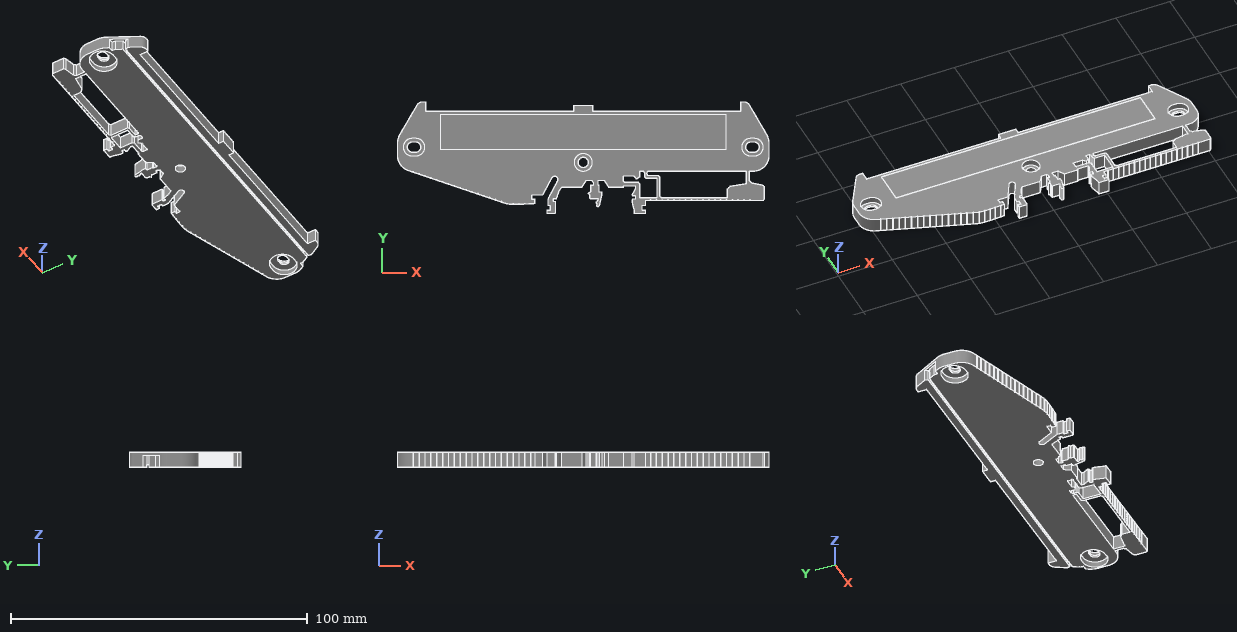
import cadquery as cq
import math

thickness = 5.1
half_length = 62.7
horn_top = 37.7
plate_top = 34.6
plate_bottom = 14.3
rail_seat = 8.9
relief_top = 11.2
tail_bottom = 3.1
foot_bottom = 0.0

horn_inner_x = 53.0
horn_tip_x = 54.4
horn_round_mid = (55.5, 37.2)
horn_round_end = (56.3, 36.2)
slant_end = (62.0, 26.6)
slant_round_mid = (62.5, 25.3)
side_top = 24.0
corner_radius = 5.4
side_bottom = plate_bottom + corner_radius

slope_start = (-59.1, 14.5)
slope_end = (-27.6, 3.9)
tail_end_x = -16.3
tail_end_y = 3.4

tab_width = 6.5
tab_height = 1.9

label_width = 96.2
label_bottom = 21.7
label_height = 11.8
label_depth = 0.1

hole_diameter = 3.4
counterbore_diameter = 6.0
counterbore_depth = 2.3
underside_recess_diameter = 8.8
underside_recess_depth = 2.1
slot_stretch = 1.1
end_hole_x = 57.0
end_hole_y = 22.5
middle_hole_y = 17.3

spring_slot_top = (-9.7, 11.5)
spring_slot_width = 2.1
spring_slot_length = 10.0
spring_slot_angle = 62.0

lip_height = 1.3
lip_notch_top = 2.8
arm_bottom = 4.4
arm_top = 5.4
foot_wall_x = 19.0
latch_top = 12.9
latch_thickness = 1.0
latch_wall_x = 25.8
handle_start_x = 48.5
handle_end_x = 61.1
hanger_x = 54.9
hanger_thickness = 1.1
hanger_bottom = 10.0

notch_height = 4.0
notch_top = 33.1
notch_bottom = 27.6
notch_slit_end = 56.4
groove_y = 31.5
groove_width = 0.8
groove_height = 0.9

grip_width = 0.1
grip_depth = 0.3
tail_grip_first_x = -57.3
tail_grip_last_x = -17.7
tail_grip_count = 21
arm_grip_first_x = 22.7
arm_grip_last_x = 56.2
arm_grip_count = 18

overlap = 0.6


def prism(points, height=thickness):
    """Extrude a closed straight-sided outline up from the underside."""
    return cq.Workplane("XY").polyline(points).close().extrude(height)


def box(x_min, x_max, y_min, y_max, height=thickness):
    return prism([(x_min, y_min), (x_max, y_min), (x_max, y_max), (x_min, y_max)], height)


def plate():
    corner_bulge = corner_radius * math.sqrt(0.5)
    corner_mid_x = half_length - corner_radius + corner_bulge
    corner_mid_y = side_bottom - corner_bulge
    outline = (
        cq.Workplane("XY")
        .moveTo(-horn_inner_x, plate_top)
        .lineTo(-horn_inner_x, horn_top)
        .lineTo(-horn_tip_x, horn_top)
        .threePointArc((-horn_round_mid[0], horn_round_mid[1]), (-horn_round_end[0], horn_round_end[1]))
        .lineTo(-slant_end[0], slant_end[1])
        .threePointArc((-slant_round_mid[0], slant_round_mid[1]), (-half_length, side_top))
        .lineTo(-half_length, side_bottom)
        .threePointArc((-corner_mid_x, corner_mid_y), slope_start)
        .lineTo(*slope_end)
        .threePointArc((-26.0, 3.4), (-24.3, tail_bottom))
        .lineTo(-21.2, tail_bottom)
        .lineTo(tail_end_x, tail_end_y)
        .lineTo(tail_end_x, 4.9)
        .lineTo(-17.3, 4.9)
        .lineTo(-17.3, 6.3)
        .lineTo(-13.3, 6.3)
        .lineTo(-10.7, rail_seat)
        .lineTo(13.5, rail_seat)
        .lineTo(13.5, 12.7)
        .lineTo(17.0, 12.7)
        .lineTo(17.9, 11.7)
        .lineTo(foot_wall_x, 12.4)
        .lineTo(foot_wall_x, plate_bottom)
        .lineTo(half_length - corner_radius, plate_bottom)
        .threePointArc((corner_mid_x, corner_mid_y), (half_length, side_bottom))
        .lineTo(half_length, side_top)
        .threePointArc(slant_round_mid, slant_end)
        .lineTo(*horn_round_end)
        .threePointArc(horn_round_mid, (horn_tip_x, horn_top))
        .lineTo(horn_inner_x, horn_top)
        .lineTo(horn_inner_x, plate_top)
        .close()
    )
    return outline.extrude(thickness)


def tab():
    return box(-tab_width / 2, tab_width / 2, plate_top - overlap, plate_top + tab_height)


def spring_leg():
    """Slanted leg left of the rail seat, ending in a hooked foot."""
    return prism([
        (-7.3, rail_seat), (-8.2, 7.6), (-9.0, 5.0), (-10.0, 5.0), (-10.0, 4.1), (-9.3, 4.1),
        (-9.3, 0.4), (-9.5, foot_bottom), (-12.3, foot_bottom), (-12.3, lip_height), (-11.2, lip_height),
        (-11.2, lip_notch_top), (-11.9, lip_notch_top), (-11.9, 4.9), (-10.0, rail_seat),
    ])


def spring_slot():
    slope = math.radians(spring_slot_angle)
    reach = (spring_slot_length - spring_slot_width) / 2
    center = (spring_slot_top[0] - reach * math.cos(slope), spring_slot_top[1] - reach * math.sin(slope))
    return (
        cq.Workplane("XY").center(*center)
        .slot2D(spring_slot_length, spring_slot_width, spring_slot_angle).extrude(thickness)
    )


def clip_relief():
    """Recess in the rail seat around the neck of the middle clip."""
    return prism([(-0.5, rail_seat), (1.0, relief_top), (7.1, relief_top), (8.5, rail_seat)])


def middle_clip():
    """Barbed block on a narrow neck, with a thin hooked finger below it."""
    return prism([
        (2.9, relief_top + overlap), (2.9, relief_top), (3.4, 10.4), (3.4, 9.7), (2.5, 9.7), (2.5, 7.4),
        (1.6, 6.9), (2.1, 6.4), (2.1, 5.3), (2.4, 5.0), (5.0, 5.0), (4.9, 4.5),
        (4.3, 3.8), (4.6, 3.3), (4.4, 2.8), (4.9, 2.3),
        (5.5, 2.8), (6.0, 5.3), (6.3, 6.1), (6.3, 7.4), (5.4, 7.4), (5.4, 9.7), (5.0, 9.7),
        (5.0, relief_top + overlap),
    ])


def foot_and_arm():
    """Right rail foot, with the long release arm that ends in a handle."""
    return prism([
        (13.2, 11.2), (13.9, 10.7), (18.5, 10.7), (foot_wall_x, 10.0), (foot_wall_x, arm_top),
        (handle_start_x, arm_top), (handle_start_x, 8.3), (49.5, 9.3), (hanger_x, 10.2),
        (hanger_x + hanger_thickness, 11.2), (56.8, 10.4), (60.5, 9.7), (handle_end_x, 9.2),
        (handle_end_x, 4.9), (60.6, arm_bottom),
        (21.1, arm_bottom), (21.1, lip_notch_top), (19.8, lip_notch_top), (19.8, lip_height),
        (21.1, lip_height), (21.1, foot_bottom), (17.2, foot_bottom), (17.2, 1.0), (16.5, 3.4),
        (16.4, 4.5), (16.7, 5.0), (17.5, 5.0), (17.5, 6.0), (16.7, 6.0), (16.4, 6.4), (17.5, 8.4),
        (17.5, 9.3), (13.5, 9.3), (13.5, rail_seat), (13.2, rail_seat),
    ])


def latch_strip():
    """Thin bent strip that ties the plate to the release arm."""
    inner_x = latch_wall_x - latch_thickness
    lower_y = latch_top - latch_thickness
    return prism([
        (20.3, plate_bottom), (20.7, 13.7), (20.7, 12.4), (21.2, lower_y), (inner_x, lower_y),
        (inner_x, arm_bottom), (26.5, arm_bottom), (26.5, arm_top), (latch_wall_x, 5.9),
        (latch_wall_x, 12.4), (25.3, latch_top), (21.7, latch_top), (21.5, 13.5), (21.7, plate_bottom),
        (21.7, plate_bottom + overlap), (20.3, plate_bottom + overlap),
    ])


def hanger():
    return box(hanger_x, hanger_x + hanger_thickness, hanger_bottom, plate_bottom + overlap)


def label_recess():
    label = box(-label_width / 2, label_width / 2, label_bottom, label_bottom + label_height, label_depth)
    return label.translate((0, 0, thickness - label_depth))


def bore(x, y, diameter, stretch, floor, top):
    """Round cutter between two heights, lengthened along X by the stretch."""
    profile = cq.Workplane("XY", origin=(x, y, floor))
    if stretch > 0:
        profile = profile.slot2D(diameter + stretch, diameter)
    else:
        profile = profile.circle(diameter / 2)
    return profile.extrude(top - floor)


def counterbored_hole(x, y, stretch=0):
    through = bore(x, y, hole_diameter, stretch, 0, thickness)
    counterbore = bore(x, y, counterbore_diameter, stretch, thickness - counterbore_depth, thickness)
    return through.union(counterbore)


def end_hole(x):
    """Lengthened counterbored hole with a wider recess on the underside."""
    recess = bore(x, end_hole_y, underside_recess_diameter, slot_stretch, 0, underside_recess_depth)
    return counterbored_hole(x, end_hole_y, slot_stretch).union(recess)


def side_notch():
    """Notch in the slanted left side, open to the underside, with a short slit above the groove."""
    slit_end_x = -notch_slit_end
    slit_top = groove_y + groove_width / 2
    slit_bottom = groove_y - groove_width / 2
    return prism(
        [
            (-half_length, notch_top), (-58.2, notch_top), (-57.9, slit_top),
            (slit_end_x, slit_top), (slit_end_x, slit_bottom), (-58.3, slit_bottom),
            (-59.6, 29.0), (-59.8, notch_bottom), (-half_length, notch_bottom),
        ],
        notch_height,
    )


def underside_groove():
    y_min = groove_y - groove_width / 2
    return box(-half_length, half_length, y_min, y_min + groove_width, groove_height)


def grip_grooves(first_x, last_x, count, edge_y):
    """Evenly spaced narrow grooves; edge_y gives the height of the lower edge at each X."""
    pitch = (last_x - first_x) / (count - 1)
    positions = [first_x + i * pitch for i in range(count)]
    return (
        cq.Workplane("XY").pushPoints([(x, edge_y(x)) for x in positions])
        .rect(grip_width, 2 * grip_depth).extrude(thickness)
    )


def tail_edge(x):
    slope = (slope_end[1] - slope_start[1]) / (slope_end[0] - slope_start[0])
    return max(tail_bottom, slope_start[1] + slope * (x - slope_start[0]))


def arm_edge(x):
    return arm_bottom


body = plate().cut(clip_relief())
for piece in (tab(), spring_leg(), middle_clip(), foot_and_arm(), latch_strip(), hanger()):
    body = body.union(piece)

body = body.cut(spring_slot()).cut(label_recess()).cut(underside_groove())
body = body.cut(side_notch()).cut(side_notch().mirror("YZ"))

body = body.cut(counterbored_hole(0, middle_hole_y))
for end_x in (-end_hole_x, end_hole_x):
    body = body.cut(end_hole(end_x))

body = body.cut(grip_grooves(tail_grip_first_x, tail_grip_last_x, tail_grip_count, tail_edge))
body = body.cut(grip_grooves(arm_grip_first_x, arm_grip_last_x, arm_grip_count, arm_edge))

result = body